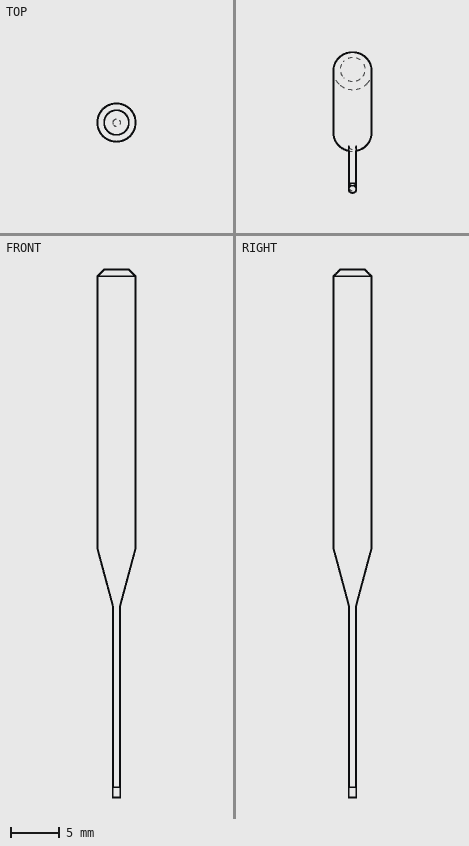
import cadquery as cq

TOOL_LENGTH = 55.0
SHANK_RADIUS = 2.0
END_CHAMFER = 0.7
TAPER_TOP_Z = 25.95

NECK_TOP_Z = 19.85
NECK_RADIUS = 0.38
NECK_CONE_HEIGHT = 0.15

HEAD_HEIGHT = 1.1
HEAD_RADIUS = 0.4


def make_shank():
    """Chamfered shank, its taper and its neck, turned about the Z axis."""
    profile = [
        (0, HEAD_HEIGHT),
        (HEAD_RADIUS, HEAD_HEIGHT),
        (NECK_RADIUS, HEAD_HEIGHT + NECK_CONE_HEIGHT),
        (NECK_RADIUS, NECK_TOP_Z),
        (HEAD_RADIUS, NECK_TOP_Z + NECK_CONE_HEIGHT),
        (SHANK_RADIUS, TAPER_TOP_Z),
        (SHANK_RADIUS, TOOL_LENGTH - END_CHAMFER),
        (SHANK_RADIUS - END_CHAMFER, TOOL_LENGTH),
        (0, TOOL_LENGTH),
    ]
    return cq.Workplane("XZ").polyline(profile).close().revolve(360, (0, 0), (0, 1))


def make_cutting_head():
    """Plain cylindrical head that meets the lower end of the neck."""
    return cq.Workplane("XY").circle(HEAD_RADIUS).extrude(HEAD_HEIGHT)


shank = make_shank()
cutting_head = make_cutting_head()

result = cq.Compound.makeCompound([shank.val(), cutting_head.val()])